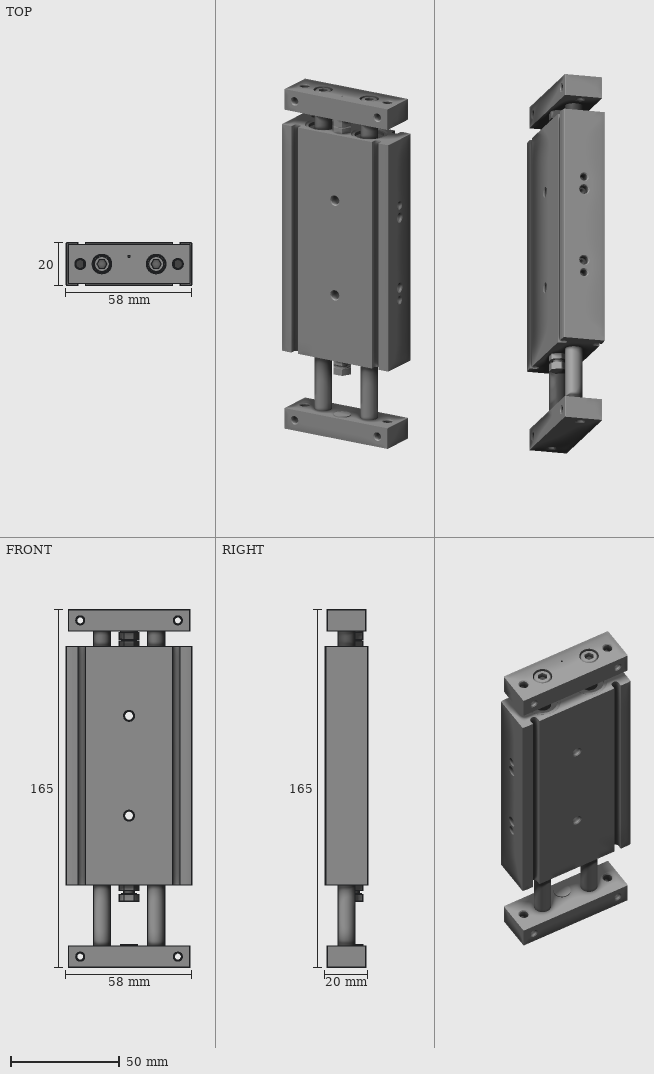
import cadquery as cq
import math


overall_length = 165.0
stroke = 20.0

housing_width = 58.0
housing_thickness = 20.0
housing_bottom = 38.0
housing_length = 110.0
housing_top = housing_bottom + housing_length
edge_chamfer = 0.25
crown_start_x = 26.2
crown_drop = 0.2

groove_x = 21.85
groove_width = 3.5
groove_depth = 3.75

plate_width = 56.0
plate_thickness = 18.0
plate_height = 10.0
plate_corner_chamfer = 0.2
top_plate_bottom = overall_length - plate_height
plate_hole_x = 22.5
plate_centre_height = plate_height / 2

rod_diameter = 8.0
rod_x = 12.5
screw_shank_diameter = 5.0
screw_head_diameter = 8.0
screw_head_height = 4.0
screw_head_top_diameter = 6.88
screw_head_recess = 0.3
head_counterbore = 9.0
head_socket_width = 4.0
head_socket_depth = 2.5

bolt_y = 3.5
bolt_diameter = 5.0
bolt_embedment = 10.0
hex_width = 8.0
bolt_head_height = 3.2
washer_face_diameter = 6.88
washer_face_height = 0.4
nut_height = 2.6
bumper_diameter = 8.0
bumper_height = 0.5
bumper_hole_diameter = 1.0

m4_core, m4_mouth = 3.24, 4.13
m5_core, m5_mouth = 4.13, 5.0

face_hole_heights = (70.0, 116.0)
side_hole_depth = 6.0
port_heights = (76.0, 110.0)
port_mouth = 4.92
port_depth = 4.0
port_tip_diameter = 2.5

seat_mouth_diameter = 17.0
seat_diameter = 16.0
seat_depth = 0.5
seal_diameter = 13.6
seal_depth = 2.0


def cylinder(diameter, start, direction, length):
    return cq.Workplane(cq.Solid.makeCylinder(diameter / 2, length, cq.Vector(*start), cq.Vector(*direction)))


def countersink(mouth, core, start, direction):
    """A 90 degree cone that narrows from the mouth to the core along the direction."""
    depth = (mouth - core) / 2
    cone = cq.Solid.makeCone(mouth / 2, core / 2, depth, cq.Vector(*start), cq.Vector(*direction))
    return cq.Workplane(cone)


def tapped_hole(core, mouth, start, direction, length):
    hole = cylinder(core, start, direction, length)
    return hole.union(countersink(mouth, core, start, direction))


def through_tapped_hole(core, mouth, start, direction, length):
    """A hole countersunk at both ends."""
    end = tuple(s + d * length for s, d in zip(start, direction))
    back = tuple(-d for d in direction)
    return tapped_hole(core, mouth, start, direction, length).union(countersink(mouth, core, end, back))


def housing_block():
    half_width = housing_width / 2
    half_thickness = housing_thickness / 2
    bevel_x = half_width - edge_chamfer
    bevel_y = half_thickness - crown_drop
    crown_mid = ((crown_start_x + bevel_x) / 2, half_thickness - crown_drop / 4)
    quarter = (
        cq.Workplane("XY", origin=(0, 0, housing_bottom))
        .lineTo(0, half_thickness)
        .lineTo(crown_start_x, half_thickness)
        .threePointArc(crown_mid, (bevel_x, bevel_y))
        .lineTo(half_width, bevel_y - edge_chamfer)
        .lineTo(half_width, 0)
        .close()
        .extrude(housing_length)
    )
    half = quarter.union(quarter.mirror("YZ"))
    return half.union(half.mirror("XZ"))


def sensor_groove(x, side):
    """One groove, on the +Y face for side = 1 and on the -Y face for side = -1."""
    face_y = side * housing_thickness / 2
    bottom_y = face_y - side * groove_depth
    spring_y = bottom_y + side * groove_width / 2
    left, right = x - groove_width / 2, x + groove_width / 2
    return (
        cq.Workplane("XY", origin=(0, 0, housing_bottom))
        .moveTo(left, face_y)
        .lineTo(left, spring_y)
        .threePointArc((x, bottom_y), (right, spring_y))
        .lineTo(right, face_y)
        .close()
        .extrude(housing_length)
    )


def side_port(z):
    """A threaded port that ends in a conical tip."""
    start = (-housing_width / 2, 0, z)
    tip_radius = port_tip_diameter / 2
    port = tapped_hole(m5_core, port_mouth, start, (1, 0, 0), port_depth)
    tip_start = (start[0] + port_depth, 0, z)
    tip = cq.Solid.makeCone(tip_radius, 0, tip_radius, cq.Vector(*tip_start), cq.Vector(1, 0, 0))
    return port.union(cq.Workplane(tip))


def rod_seat(x):
    top = (x, 0, housing_top)
    seat = tapped_hole(seat_diameter, seat_mouth_diameter, top, (0, 0, -1), seat_depth)
    return seat.union(cylinder(seal_diameter, top, (0, 0, -1), seal_depth))


def make_housing():
    body = housing_block()
    for x in (-groove_x, groove_x):
        for side in (-1, 1):
            body = body.cut(sensor_groove(x, side))
    for z in face_hole_heights:
        face = (0, -housing_thickness / 2, z)
        body = body.cut(through_tapped_hole(m5_core, m5_mouth, face, (0, 1, 0), housing_thickness))
        side = (-housing_width / 2, 0, z)
        body = body.cut(tapped_hole(m4_core, m4_mouth, side, (1, 0, 0), side_hole_depth))
    for z in port_heights:
        body = body.cut(side_port(z))
    for x in (-rod_x, rod_x):
        body = body.cut(rod_seat(x))
        body = body.cut(cylinder(rod_diameter, (x, 0, housing_bottom), (0, 0, 1), housing_length))
    body = body.cut(cylinder(bolt_diameter, (0, bolt_y, housing_top), (0, 0, -1), bolt_embedment))
    return body.cut(cylinder(bolt_diameter, (0, bolt_y, housing_bottom), (0, 0, 1), bolt_embedment))


def plate_blank(bottom):
    """A plate with its threaded holes only."""
    plate = cq.Workplane("XY", origin=(0, 0, bottom)).box(
        plate_width, plate_thickness, plate_height, centered=(True, True, False)
    )
    plate = plate.edges("|Z").chamfer(plate_corner_chamfer)
    for x in (-plate_hole_x, plate_hole_x):
        front = (x, -plate_thickness / 2, bottom + plate_centre_height)
        plate = plate.cut(through_tapped_hole(m4_core, m4_mouth, front, (0, 1, 0), plate_thickness))
        plate = plate.cut(through_tapped_hole(m5_core, m5_mouth, (x, 0, bottom), (0, 0, 1), plate_height))
    return plate


def make_top_plate():
    plate = plate_blank(top_plate_bottom)
    bumper = cylinder(bumper_diameter, (0, bolt_y, top_plate_bottom), (0, 0, -1), bumper_height)
    plate = plate.union(bumper)
    counterbore_depth = screw_head_recess + screw_head_height
    for x in (-rod_x, rod_x):
        plate = plate.cut(cylinder(screw_shank_diameter, (x, 0, top_plate_bottom), (0, 0, 1), plate_height))
        plate = plate.cut(cylinder(head_counterbore, (x, 0, overall_length), (0, 0, -1), counterbore_depth))
    bumper_hole = cylinder(bumper_hole_diameter, (0, bolt_y, overall_length), (0, 0, -1), plate_height)
    return plate.cut(bumper_hole)


def make_bottom_plate():
    bumper = cylinder(bumper_diameter, (0, bolt_y, plate_height), (0, 0, 1), bumper_height)
    return plate_blank(0).union(bumper)


def make_rod(x):
    """A rod standing on the lower plate, held to the upper plate by its screw head."""
    rod = cylinder(rod_diameter, (x, 0, plate_height), (0, 0, 1), top_plate_bottom - plate_height)
    head_top = overall_length - screw_head_recess
    shank_length = head_top - top_plate_bottom
    shank = cylinder(screw_shank_diameter, (x, 0, top_plate_bottom), (0, 0, 1), shank_length)
    head = cylinder(screw_head_diameter, (x, 0, head_top), (0, 0, -1), screw_head_height)
    head = head.faces(">Z").chamfer((screw_head_diameter - screw_head_top_diameter) / 2)
    socket = (
        cq.Workplane("XY", origin=(x, 0, head_top))
        .polygon(6, head_socket_width / math.cos(math.pi / 6))
        .extrude(-head_socket_depth)
    )
    return rod.union(shank).union(head).cut(socket)


def make_stop_bolt(housing_end, tip, outward):
    """A hex bolt with its lock nut; outward is +1 for the upper end and -1 for the lower end."""
    axis = (0, 0, outward)
    root = housing_end - outward * bolt_embedment
    head_base = tip - outward * bolt_head_height
    across_corners = hex_width / math.cos(math.pi / 6)

    def hex_prism(start, height):
        return (
            cq.Workplane("XY", origin=(0, bolt_y, start))
            .polygon(6, across_corners)
            .extrude(outward * height)
        )

    shank = cylinder(bolt_diameter, (0, bolt_y, root), axis, abs(head_base - root))
    washer_face = cylinder(washer_face_diameter, (0, bolt_y, head_base), (0, 0, -outward), washer_face_height)
    nut = hex_prism(housing_end, nut_height)
    head = hex_prism(head_base, bolt_head_height)
    return shank.union(washer_face).union(nut).union(head)


upper_bolt_tip = top_plate_bottom - bumper_height
lower_bolt_tip = plate_height + bumper_height + stroke

housing = make_housing()
top_plate = make_top_plate()
bottom_plate = make_bottom_plate()
rods = [make_rod(x) for x in (-rod_x, rod_x)]
upper_bolt = make_stop_bolt(housing_top, upper_bolt_tip, 1)
lower_bolt = make_stop_bolt(housing_bottom, lower_bolt_tip, -1)

result = cq.Compound.makeCompound(
    [
        housing.val(),
        top_plate.val(),
        bottom_plate.val(),
        *[rod.val() for rod in rods],
        upper_bolt.val(),
        lower_bolt.val(),
    ]
)